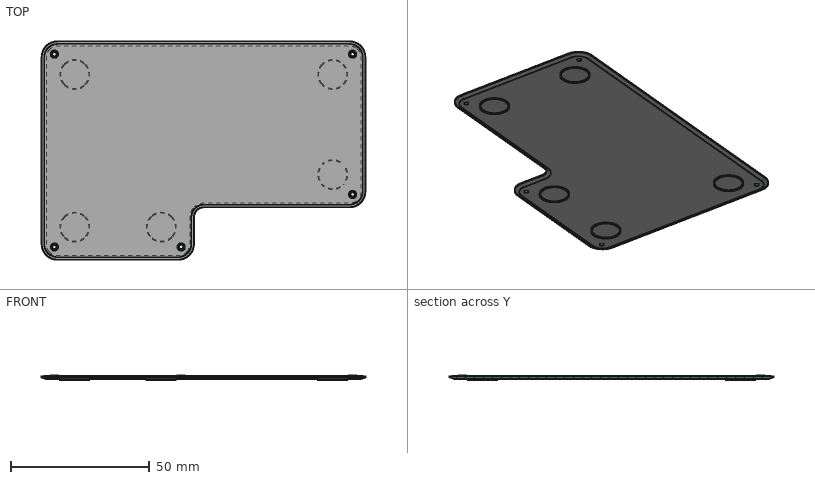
import cadquery as cq

length = 117.1
width = 79.0
total_height = 1.8

lower_arm_length = 55.2
notch_width = 19.0

outer_radius = 5.9
notch_radius = 3.5

foot_height = 0.4
edge_height = 0.4
boss_rise = 0.29
panel_rise = 0.18
panel_top = total_height - boss_rise
edge_top = panel_top - panel_rise

chamfer_height = edge_top - edge_height - foot_height
chamfer_width = 1.6

step_width = 1.0

screw_inset = 4.7
boss_diameter = 2.7
hole_diameter = 1.5
foot_inset = 12.0
foot_diameter = 10.8
foot_recess_diameter = 10.2


def corner_points(inset):
    """Points set in equally from both sides of each convex corner."""
    return [
        (inset, inset),
        (lower_arm_length - inset, inset),
        (length - inset, notch_width + inset),
        (length - inset, width - inset),
        (inset, width - inset),
    ]


def rounded_plate(inset, bottom, top):
    """L-shaped slab whose sides lie the given inset inside the outline."""
    right = length - inset
    back = width - inset
    arm_right = lower_arm_length - inset
    notch_edge = notch_width + inset
    radius = outer_radius - inset
    inner_radius = notch_radius + inset
    return (
        cq.Workplane("XY", origin=(0, 0, bottom))
        .moveTo(inset + radius, inset)
        .lineTo(arm_right - radius, inset)
        .radiusArc((arm_right, inset + radius), -radius)
        .lineTo(arm_right, notch_edge - inner_radius)
        .radiusArc((arm_right + inner_radius, notch_edge), inner_radius)
        .lineTo(right - radius, notch_edge)
        .radiusArc((right, notch_edge + radius), -radius)
        .lineTo(right, back - radius)
        .radiusArc((right - radius, back), -radius)
        .lineTo(inset + radius, back)
        .radiusArc((inset, back - radius), -radius)
        .lineTo(inset, inset + radius)
        .radiusArc((inset + radius, inset), -radius)
        .close()
        .extrude(top - bottom)
    )


def cylinders(points, diameter, bottom, top):
    """Upright cylinders of one size at the given points."""
    plane = cq.Workplane("XY", origin=(0, 0, bottom))
    return plane.pushPoints(points).circle(diameter / 2).extrude(top - bottom)


plate = rounded_plate(0, foot_height, edge_top)
plate = plate.faces("<Z").chamfer(chamfer_height, chamfer_width)

plate = plate.union(rounded_plate(step_width, foot_height + chamfer_height, panel_top))

foot_points = corner_points(foot_inset)
feet = cylinders(foot_points, foot_diameter, 0, foot_height)
feet = feet.cut(cylinders(foot_points, foot_recess_diameter, 0, foot_height))

screw_points = corner_points(screw_inset)
bosses = cylinders(screw_points, boss_diameter, foot_height, total_height)
holes = cylinders(screw_points, hole_diameter, 0, total_height)

result = plate.union(feet).union(bosses).cut(holes)